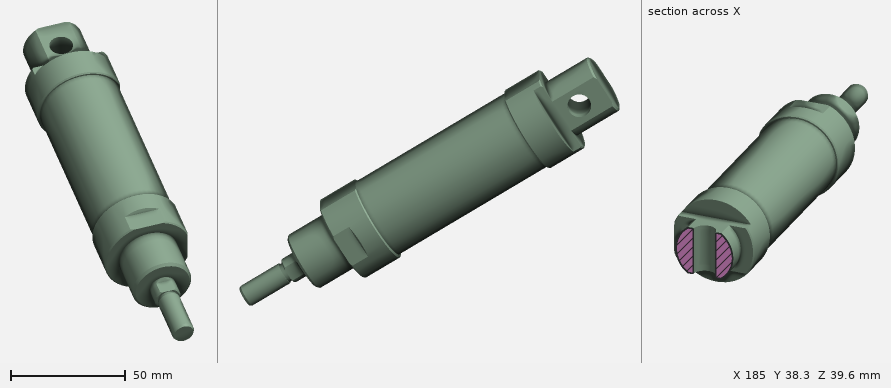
import cadquery as cq

overall_length = 185.0
overlap = 1.8

clevis_length = 22.0
rear_step_x = 26.3
tube_start_x = 40.1
tube_end_x = 116.5
front_cap_end_x = 135.0
nose_end_x = 155.2
collar_end_x = 162.8
stud_start_x = 164.5

cap_radius = 19.8
cap_flat_offset = 18.1
cap_chamfer = 0.5
tube_radius = 18.5

clevis_radius = 13.5
clevis_thickness = 22.0
clevis_chamfer_length = 0.7
clevis_chamfer_depth = 1.0
clevis_hole_x = 13.0
clevis_hole_diameter = 10.4

nose_radius = clevis_radius
nose_chamfer = 1.1
wrench_flat_x = 126.5
wrench_flat_run_out = 1.0

rod_radius = 6.0
rod_chamfer = 0.5
rod_flat_offset = 4.8
rod_flat_x = 156.9
neck_radius = 4.5
stud_radius = 5.0
stud_chamfer_length = 1.1
stud_chamfer_depth = 0.5


def cylinder(start_x, end_x, radius):
    """Solid cylinder on the X axis."""
    return cq.Workplane("YZ", origin=(start_x, 0, 0)).circle(radius).extrude(end_x - start_x)


def block(start_x, end_x, start_y, end_y, start_z, end_z):
    """Box given by its limits along the three axes."""
    size = (end_x - start_x, end_y - start_y, end_z - start_z)
    return cq.Workplane("XY").box(*size, centered=False).translate((start_x, start_y, start_z))


def chamfered_cap(start_x, end_x):
    """Round cap with both rims chamfered and one flat along its +Y side."""
    cap = cylinder(start_x, end_x, cap_radius).edges().chamfer(cap_chamfer)
    reach = cap_radius + overlap
    return cap.cut(block(start_x, end_x, cap_flat_offset, reach, -reach, reach))


def cut_opposite_flats(body, radius, offset, slope_run, flat_start_x, flat_end_x):
    """Cut flats on the +Z and -Z sides, each rising to the round surface at its -X end."""
    slope = (radius - offset) / slope_run
    reach = radius + overlap
    cutter = (
        cq.Workplane("XZ", origin=(0, reach, 0))
        .moveTo(flat_start_x, offset)
        .lineTo(flat_end_x, offset)
        .lineTo(flat_end_x, reach)
        .lineTo(flat_start_x - (reach - offset) / slope, reach)
        .close()
        .extrude(2 * reach)
    )
    return body.cut(cutter).cut(cutter.mirror("XY"))


def make_rear_cap():
    """Rear cap with a flattened clevis tongue and its cross hole."""
    half = clevis_thickness / 2
    reach = cap_radius + overlap
    tongue = (
        cylinder(0, clevis_length, clevis_radius)
        .faces("<X")
        .chamfer(clevis_chamfer_length, clevis_chamfer_depth)
    )
    cap = tongue.union(chamfered_cap(clevis_length, tube_start_x))

    upper_cut = block(-overlap, rear_step_x, -reach, reach, half, reach)
    cap = cap.cut(upper_cut).cut(upper_cut.mirror("XY"))

    hole = (
        cq.Workplane("XY", origin=(clevis_hole_x, 0, -half))
        .circle(clevis_hole_diameter / 2)
        .extrude(clevis_thickness)
    )
    return cap.cut(hole)


def make_tube():
    """Plain round barrel between the two caps."""
    return cylinder(tube_start_x, tube_end_x, tube_radius)


def make_front_cap():
    """Front cap with wrench flats and a chamfered nose."""
    cap = cut_opposite_flats(
        chamfered_cap(tube_end_x, front_cap_end_x),
        cap_radius,
        cap_flat_offset,
        wrench_flat_run_out,
        wrench_flat_x,
        front_cap_end_x,
    )
    nose = cylinder(front_cap_end_x, nose_end_x, nose_radius).faces(">X").chamfer(nose_chamfer)
    return cap.union(nose)


def make_rod():
    """Visible rod: flatted collar, undercut neck and stud end."""
    collar = cylinder(nose_end_x, collar_end_x, rod_radius).faces(">X").chamfer(rod_chamfer)
    flat_run_out = rod_radius - rod_flat_offset
    collar = cut_opposite_flats(
        collar, rod_radius, rod_flat_offset, flat_run_out, rod_flat_x, collar_end_x
    )
    neck = cylinder(collar_end_x, stud_start_x, neck_radius)
    stud = (
        cylinder(stud_start_x, overall_length, stud_radius)
        .faces(">X")
        .chamfer(stud_chamfer_length, stud_chamfer_depth)
    )
    return collar.union(neck).union(stud)


rear_cap = make_rear_cap()
tube = make_tube()
front_cap = make_front_cap()
rod = make_rod()

result = cq.Compound.makeCompound([rear_cap.val(), tube.val(), front_cap.val(), rod.val()])